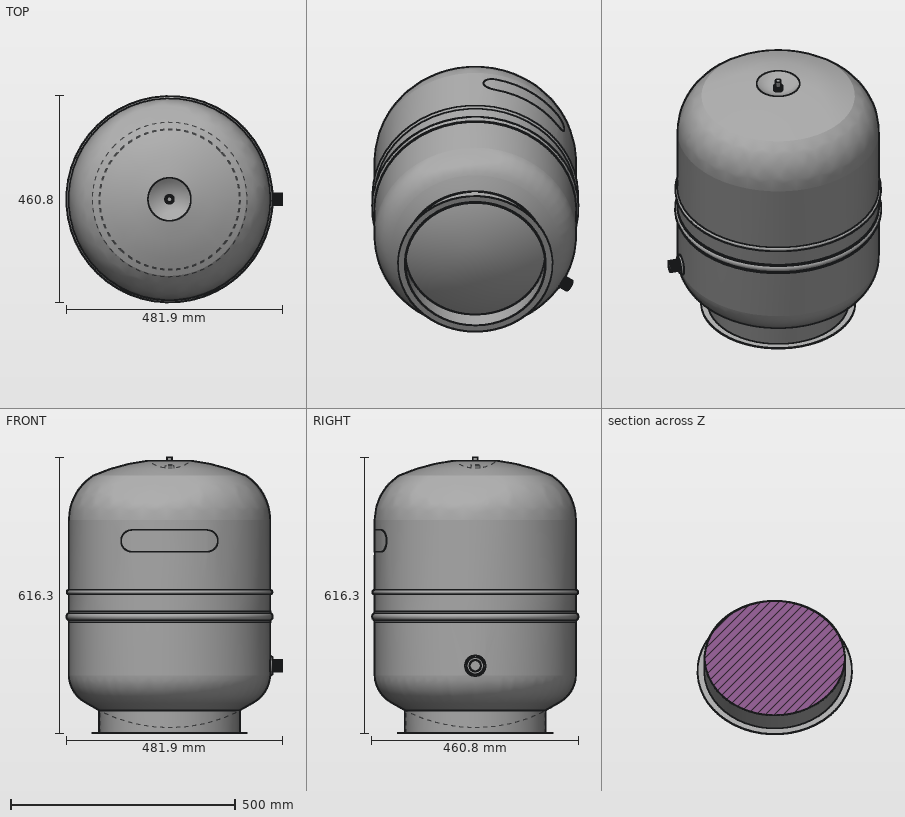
import cadquery as cq
import math

TANK_RADIUS = 450 / 2
BAND_RADIUS = 451 / 2
WALL_BOTTOM_Z = 129.5
WALL_TOP_Z = 476.0

LOWER_CORNER_RADIUS = 188.0
LOWER_CORNER_Z = 69.2
LOWER_CORNER_BULGE = 9.0
LOWER_CROWN_RADIUS = 345.0

UPPER_CORNER_RADIUS = 171.0
UPPER_CORNER_Z = 575.0
UPPER_CORNER_BULGE = 14.0
UPPER_CROWN_RADIUS = 422.0
DIMPLE_RADIUS = 48.0
DIMPLE_FLOOR_Z = 592.0

LOWER_BEAD_RADIUS = 460.84 / 2
UPPER_BEAD_RADIUS = 459.6 / 2
UPPER_BEAD_Z = 315.1
UPPER_BEAD_HEIGHT = 10.2
LOWER_BEAD_Z = 260.5
LOWER_BEAD_HEIGHT = 16.0
BAND_HEIGHT = 24.0

BADGE_WIDTH = 216.0
BADGE_HEIGHT = 48.5
BADGE_Z = 429.5

VALVE_TOP_Z = 616.27
VALVE_STEM_DIAMETER = 12.0
VALVE_NECK_DIAMETER = 17.0
VALVE_COLLAR_DIAMETER = 20.0
VALVE_COLLAR_TOP_Z = 600.5
VALVE_NECK_TOP_Z = 599.0
VALVE_BASE_TOP_Z = 597.0

PORT_Z = 151.0
PORT_END_X = 251.43
PORT_DIAMETER = 26.0
PORT_BOSS_END_X = 230.0
PORT_BOSS_END_DIAMETER = 38.0
PORT_BOSS_BASE_DIAMETER = 46.0
THREAD_PITCH = 1.8
THREAD_DEPTH = 1.1

EMBED_DEPTH = 10.0

STAND_INNER_RADIUS = 311 / 2
STAND_OUTER_RADIUS = 315 / 2
FLANGE_RADIUS = 345 / 2
FLANGE_THICKNESS = STAND_OUTER_RADIUS - STAND_INNER_RADIUS


def outward_middle(start, end, bulge):
    """Middle point of an arc that bows to the right of the line from start to end."""
    dx = end[0] - start[0]
    dz = end[1] - start[1]
    length = math.hypot(dx, dz)
    return (
        (start[0] + end[0]) / 2 + bulge * dz / length,
        (start[1] + end[1]) / 2 - bulge * dx / length,
    )


def sphere_drop(sphere_radius, radius):
    """How far a sphere falls from its pole at the given distance from the axis."""
    return sphere_radius - math.sqrt(sphere_radius**2 - radius**2)


def crown_bulge(sphere_radius, start, end):
    """Height of an arc of the given radius above its chord."""
    half_chord = math.dist(start, end) / 2
    return sphere_drop(sphere_radius, half_chord)


def make_shell():
    lower_pole = (0, LOWER_CORNER_Z - sphere_drop(LOWER_CROWN_RADIUS, LOWER_CORNER_RADIUS))
    lower_corner = (LOWER_CORNER_RADIUS, LOWER_CORNER_Z)
    wall_bottom = (TANK_RADIUS, WALL_BOTTOM_Z)
    wall_top = (TANK_RADIUS, WALL_TOP_Z)
    upper_corner = (UPPER_CORNER_RADIUS, UPPER_CORNER_Z)
    upper_pole_z = UPPER_CORNER_Z + sphere_drop(UPPER_CROWN_RADIUS, UPPER_CORNER_RADIUS)
    dimple_edge = (DIMPLE_RADIUS, upper_pole_z - sphere_drop(UPPER_CROWN_RADIUS, DIMPLE_RADIUS))
    dimple_floor = (0, DIMPLE_FLOOR_Z)

    dimple_depth = dimple_edge[1] - DIMPLE_FLOOR_Z
    dimple_sphere_radius = (DIMPLE_RADIUS**2 + dimple_depth**2) / (2 * dimple_depth)

    lower_crown_bulge = crown_bulge(LOWER_CROWN_RADIUS, lower_pole, lower_corner)
    upper_crown_bulge = crown_bulge(UPPER_CROWN_RADIUS, upper_corner, dimple_edge)
    dimple_bulge = crown_bulge(dimple_sphere_radius, dimple_edge, dimple_floor)

    profile = (
        cq.Workplane("XZ")
        .moveTo(*lower_pole)
        .threePointArc(outward_middle(lower_pole, lower_corner, lower_crown_bulge), lower_corner)
        .threePointArc(outward_middle(lower_corner, wall_bottom, LOWER_CORNER_BULGE), wall_bottom)
        .lineTo(*wall_top)
        .threePointArc(outward_middle(wall_top, upper_corner, UPPER_CORNER_BULGE), upper_corner)
        .threePointArc(outward_middle(upper_corner, dimple_edge, upper_crown_bulge), dimple_edge)
        .threePointArc(outward_middle(dimple_edge, dimple_floor, -dimple_bulge), dimple_floor)
        .close()
    )
    return profile.revolve(360, (0, 0, 0), (0, 1, 0))


def cylinder(diameter, bottom_z, top_z):
    return cq.Workplane("XY").workplane(offset=bottom_z).circle(diameter / 2).extrude(top_z - bottom_z)


def make_bead(centre_z, height, base_radius, crest_radius):
    """Rounded bead around the wall; it reaches inward so that it joins the shell."""
    root_radius = base_radius - EMBED_DEPTH
    bottom_z = centre_z - height / 2
    top_z = centre_z + height / 2
    profile = (
        cq.Workplane("XZ")
        .moveTo(root_radius, bottom_z)
        .lineTo(base_radius, bottom_z)
        .threePointArc((crest_radius, centre_z), (base_radius, top_z))
        .lineTo(root_radius, top_z)
        .close()
    )
    return profile.revolve(360, (0, 0, 0), (0, 1, 0))


def make_badge():
    outline = (
        cq.Workplane("XZ", origin=(0, 0, BADGE_Z))
        .slot2D(BADGE_WIDTH, BADGE_HEIGHT)
        .extrude(TANK_RADIUS + EMBED_DEPTH)
    )
    skin = cylinder(2 * BAND_RADIUS, BADGE_Z - BADGE_HEIGHT, BADGE_Z + BADGE_HEIGHT)
    core = cylinder(2 * (TANK_RADIUS - EMBED_DEPTH), BADGE_Z - BADGE_HEIGHT, BADGE_Z + BADGE_HEIGHT)
    return outline.intersect(skin.cut(core))


def make_valve():
    base = cylinder(VALVE_COLLAR_DIAMETER, DIMPLE_FLOOR_Z - EMBED_DEPTH, VALVE_BASE_TOP_Z)
    neck = cylinder(VALVE_NECK_DIAMETER, VALVE_BASE_TOP_Z, VALVE_NECK_TOP_Z)
    collar = cylinder(VALVE_COLLAR_DIAMETER, VALVE_NECK_TOP_Z, VALVE_COLLAR_TOP_Z)
    stem = cylinder(VALVE_STEM_DIAMETER, VALVE_COLLAR_TOP_Z, VALVE_TOP_Z)
    return base.union(neck).union(collar).union(stem)


def make_port():
    """Conical boss and a stub with ring-shaped thread grooves, turned about a line along X."""
    root_x = TANK_RADIUS - EMBED_DEPTH
    crest = PORT_DIAMETER / 2
    groove = crest - THREAD_DEPTH
    turns = math.floor((PORT_END_X - PORT_BOSS_END_X) / THREAD_PITCH)
    profile = (
        cq.Workplane("XY", origin=(0, 0, PORT_Z))
        .moveTo(root_x, 0)
        .lineTo(root_x, PORT_BOSS_BASE_DIAMETER / 2)
        .lineTo(TANK_RADIUS, PORT_BOSS_BASE_DIAMETER / 2)
        .lineTo(PORT_BOSS_END_X, PORT_BOSS_END_DIAMETER / 2)
        .lineTo(PORT_BOSS_END_X, crest)
    )
    for turn in range(turns):
        start_x = PORT_BOSS_END_X + turn * THREAD_PITCH
        profile = profile.lineTo(start_x + THREAD_PITCH / 2, groove)
        profile = profile.lineTo(start_x + THREAD_PITCH, crest)
    profile = profile.lineTo(PORT_END_X, crest).lineTo(PORT_END_X, 0).close()
    return profile.revolve(360, (0, 0, 0), (1, 0, 0))


def make_tank():
    tank = make_shell()
    band_bottom = LOWER_BEAD_Z - BAND_HEIGHT / 2
    features = [
        cylinder(2 * BAND_RADIUS, band_bottom, band_bottom + BAND_HEIGHT),
        make_bead(UPPER_BEAD_Z, UPPER_BEAD_HEIGHT, TANK_RADIUS, UPPER_BEAD_RADIUS),
        make_bead(LOWER_BEAD_Z, LOWER_BEAD_HEIGHT, BAND_RADIUS, LOWER_BEAD_RADIUS),
        make_badge(),
        make_valve(),
        make_port(),
    ]
    for feature in features:
        tank = tank.union(feature)
    return tank


def make_stand(tank):
    """Flanged ring whose upper edge follows the lower crown of the tank."""
    ring = cylinder(2 * STAND_OUTER_RADIUS, 0, LOWER_CORNER_Z)
    flange = cylinder(2 * FLANGE_RADIUS, 0, FLANGE_THICKNESS)
    bore = cylinder(2 * STAND_INNER_RADIUS, 0, LOWER_CORNER_Z)
    return ring.union(flange).cut(bore).cut(tank)


tank = make_tank()
stand = make_stand(tank)

result = cq.Compound.makeCompound([*tank.solids().vals(), *stand.solids().vals()])